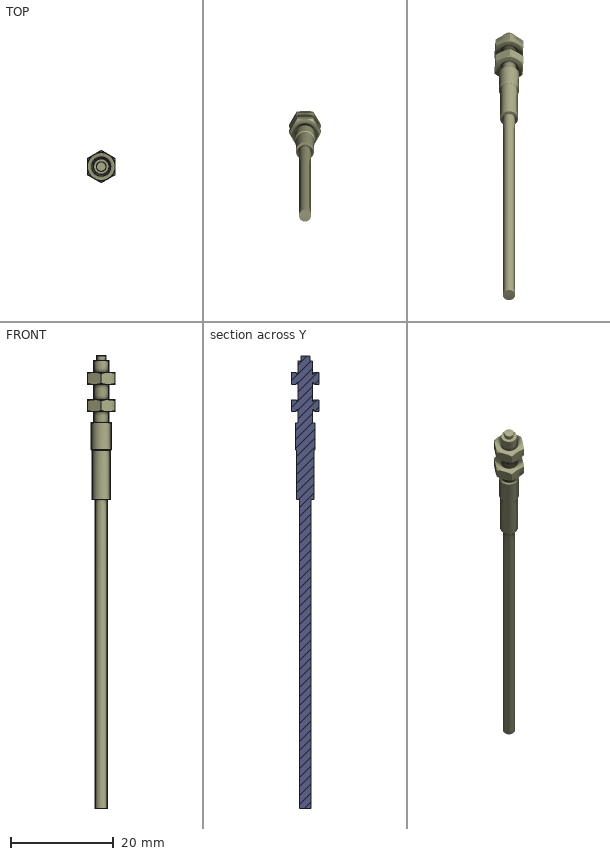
import cadquery as cq
import math

total_height = 88.0
sleeve_bottom = 60.0
collar_bottom = 69.6
collar_top = 75.0
stud_top = 87.0

cable_diameter = 2.4
sleeve_diameter = 3.5
collar_diameter = 4.0
stud_diameter = 3.0
tip_diameter = 1.85
collar_chamfer = 0.2

nut_corner_diameter = 6.25
nut_flat_width = nut_corner_diameter * math.cos(math.radians(30))
nut_thickness = 2.4
nut_bottoms = (77.1, 82.4)
nut_chamfer_angle = 30.0
countersink_diameter = 3.7
countersink_depth = (countersink_diameter - stud_diameter) / 2


def cylinder(diameter, bottom, top):
    return cq.Workplane("XY").workplane(offset=bottom).circle(diameter / 2).extrude(top - bottom)


def turned_body():
    cable = cylinder(cable_diameter, 0, sleeve_bottom)
    sleeve = cylinder(sleeve_diameter, sleeve_bottom, collar_bottom)
    collar = cylinder(collar_diameter, collar_bottom, collar_top).faces("<Z").chamfer(collar_chamfer)
    stud = cylinder(stud_diameter, collar_top, stud_top)
    tip = cylinder(tip_diameter, stud_top, total_height)
    return cable.union(sleeve).union(collar).union(stud).union(tip)


def nut_envelope():
    """Double-coned disc that rounds the hexagon corners and countersinks the bore."""
    face_radius = nut_flat_width / 2
    corner_radius = nut_corner_diameter / 2
    chamfer_height = (corner_radius - face_radius) * math.tan(math.radians(nut_chamfer_angle))
    profile = [
        (stud_diameter / 2, countersink_depth),
        (countersink_diameter / 2, 0),
        (face_radius, 0),
        (corner_radius, chamfer_height),
        (corner_radius, nut_thickness - chamfer_height),
        (face_radius, nut_thickness),
        (countersink_diameter / 2, nut_thickness),
        (stud_diameter / 2, nut_thickness - countersink_depth),
    ]
    return cq.Workplane("XZ").polyline(profile).close().revolve(360, (0, 0, 0), (0, 1, 0))


def hex_nut():
    hexagon = cq.Workplane("XY").polygon(6, nut_corner_diameter).extrude(nut_thickness)
    hexagon = hexagon.rotate((0, 0, 0), (0, 0, 1), 90)
    return hexagon.intersect(nut_envelope())


result = turned_body()
for nut_bottom in nut_bottoms:
    result = result.union(hex_nut().translate((0, 0, nut_bottom)))